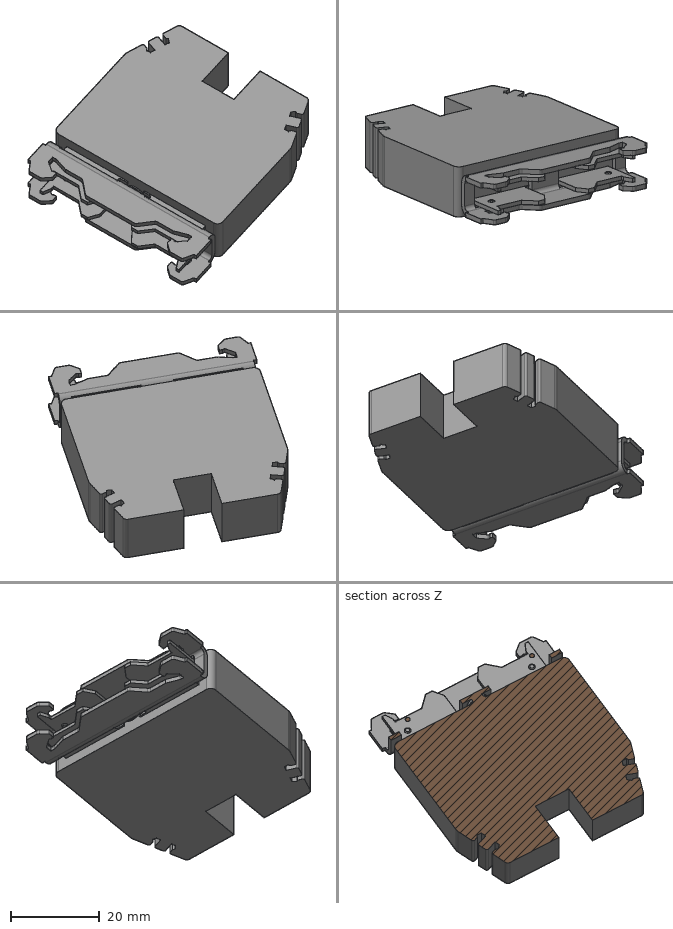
import cadquery as cq
import math


TOTAL_LENGTH = 53.3
HOUSING_WIDTH = 46.25
HOUSING_THICKNESS = 12.0
HOUSING_BASE_Y = 11.8
BASE_CORNER_RADIUS = 1.5
SHOULDER_Y = 39.55
FLANK_ANGLE = math.radians(20)
SHOULDER_RADIUS = 2.25
TOP_CORNER_RADIUS = 1.0
CENTRE_SLOT_WIDTH = 8.85
CENTRE_SLOT_DEPTH = 10.1

GROOVE_WIDTH = 1.15
GROOVE_DEPTH = 2.95
LOWER_GROOVE_START = 4.8
UPPER_GROOVE_START = 8.75
BARB_START = 1.55
BARB_PEAK = 1.9
BARB_HEIGHT = 0.4
GROOVE_MOUTH_RADIUS = 0.5

SHEET = 1.15
CHANNEL_WIDTH = 45.5
CHANNEL_HEIGHT = 9.7
WEB_Y = 10.75
BEND_RADIUS = 2.2
FLANGE_TOP_Y = 8.25
FLANGE_HALF_WIDTH = 23.5
KEEL_HALF_WIDTH = 6.95
KEEL_Y = 1.9
KEEL_CORNER_RADIUS = 0.75
TONGUE_HALF_WIDTH = 3.8
WINDOW_END_X = 19.95
WINDOW_BEND_ANGLE = math.radians(34)

RELIEF_Y = 5.3
RELIEF_CORNER_RADIUS = 0.95
RELIEF_RISE_X = 15.05
RELIEF_PEAK_X = 18.45
RELIEF_PEAK_Y = 6.4
RELIEF_PEAK_RADIUS = 0.8
RELIEF_SIDE_END_Y = 4.85

HOOK_THROAT_X = 17.25
HOOK_THROAT_Y = 3.05
HOOK_THROAT_RADIUS = 0.2
HOOK_TIP_X = 16.05
HOOK_TIP_Y = 3.25
HOOK_TIP_FLAT = 0.7
HOOK_LEAD_IN_Y = 1.7
HOOK_LEAD_IN_RADIUS = 0.3
FOOT_INNER_X = 18.0
FOOT_INNER_RADIUS = 1.1
FOOT_OUTER_X = 21.4
FOOT_OUTER_RADIUS = 0.65
HOOK_STEP = 0.65
HOOK_STEP_Y = 2.55

PLATE_THICKNESS = 0.95
PLATE_OUTER_Z = 3.25
PLATE_HALF_WIDTH = 19.4
PLATE_INNER_X = 4.4
PLATE_TAPER_Y = 4.05
PLATE_FOOT_Y = 1.55
PLATE_FOOT_INNER_X = 6.15
PLATE_FOOT_OUTER_X = 7.9
PLATE_ARCH_Y = 4.3
PLATE_ARCH_END_X = 17.65
PLATE_ARCH_DROP = 0.8
PLATE_TOE_WIDTH = 0.8
PLATE_BRIDGE_Y = 11.4
COLLAR_NOTCH_WIDTH = 4.55
BRIDGE_CORNER_RADIUS = 0.35
STUD_X = 16.5
STUD_Y = 7.85
STUD_BASE_RADIUS = 0.75
STUD_TIP_RADIUS = 0.5
STUD_HEIGHT = 0.2

RIVET_RADIUS = 2.6
COLLAR_RADIUS = 2.75


def rounded_outline(corners):
    """Closed wire through (x, y, radius) corners, each corner rounded by its radius."""
    count = len(corners)
    stretches = []
    for i, (x, y, radius) in enumerate(corners):
        corner = cq.Vector(x, y)
        if radius == 0:
            stretches.append([corner])
            continue
        before = cq.Vector(*corners[i - 1][:2])
        after = cq.Vector(*corners[(i + 1) % count][:2])
        to_before = (before - corner).normalized()
        to_after = (after - corner).normalized()
        half_angle = to_before.getAngle(to_after) / 2
        tangent_length = radius / math.tan(half_angle)
        bisector = (to_before + to_after).normalized()
        middle_offset = radius / math.sin(half_angle) - radius
        stretches.append([
            corner + to_before * tangent_length,
            corner + bisector * middle_offset,
            corner + to_after * tangent_length,
        ])
    outline = cq.Workplane("XY").moveTo(*stretches[0][-1].toTuple()[:2])
    for stretch in stretches[1:] + stretches[:1]:
        outline = outline.lineTo(*stretch[0].toTuple()[:2])
        if len(stretch) > 1:
            outline = outline.threePointArc(stretch[1].toTuple()[:2], stretch[2].toTuple()[:2])
    return outline.close()


def mirrored(right_half):
    """Complete a right-half outline with its mirror image across X = 0."""
    return right_half + [(-x, y, radius) for x, y, radius in reversed(right_half)]


def both_sides(solid, plane):
    return solid.union(solid.mirror(plane))


def flank_point(along, depth, radius=0):
    """Corner on the right flank: distance up from the shoulder and depth into the housing."""
    x = HOUSING_WIDTH / 2 - along * math.sin(FLANK_ANGLE) - depth * math.cos(FLANK_ANGLE)
    y = SHOULDER_Y + along * math.cos(FLANK_ANGLE) - depth * math.sin(FLANK_ANGLE)
    return (x, y, radius)


def groove_corners(start, barb_below):
    """Groove corners from the lower lip round to the upper lip."""
    end = start + GROOVE_WIDTH
    lower = [flank_point(start, 0, GROOVE_MOUTH_RADIUS)]
    upper = [flank_point(end, 0, GROOVE_MOUTH_RADIUS)]
    if barb_below:
        lower += [flank_point(start, BARB_START), flank_point(start - BARB_HEIGHT, BARB_PEAK)]
    else:
        upper += [flank_point(end, BARB_START), flank_point(end + BARB_HEIGHT, BARB_PEAK)]
    floor = [flank_point(start, GROOVE_DEPTH), flank_point(end, GROOVE_DEPTH)]
    return lower + floor + upper[::-1]


def make_housing():
    half_width = HOUSING_WIDTH / 2
    half_slot = CENTRE_SLOT_WIDTH / 2
    slot_floor_y = TOTAL_LENGTH - CENTRE_SLOT_DEPTH
    top_x = half_width - (TOTAL_LENGTH - SHOULDER_Y) * math.tan(FLANK_ANGLE)
    right_half = [
        (half_width, HOUSING_BASE_Y, BASE_CORNER_RADIUS),
        (half_width, SHOULDER_Y, SHOULDER_RADIUS),
        *groove_corners(LOWER_GROOVE_START, barb_below=True),
        *groove_corners(UPPER_GROOVE_START, barb_below=False),
        (top_x, TOTAL_LENGTH, TOP_CORNER_RADIUS),
        (half_slot, TOTAL_LENGTH, 0),
        (half_slot, slot_floor_y, 0),
    ]
    return rounded_outline(mirrored(right_half)).extrude(HOUSING_THICKNESS / 2, both=True)


def channel_block(height, top_y, radius):
    """Block from the flange shoulders up to top_y, its two long upper edges rounded."""
    depth = top_y - FLANGE_TOP_Y
    block = cq.Workplane("XY").box(CHANNEL_WIDTH, depth, height, centered=(True, False, True))
    return block.translate((0, FLANGE_TOP_Y, 0)).edges("|X and >Y").fillet(radius)


def make_channel():
    """Web and bends of the bracket, with a window each side of the centre tongue."""
    inner = channel_block(CHANNEL_HEIGHT - 2 * SHEET, WEB_Y - SHEET, BEND_RADIUS - SHEET)
    channel = channel_block(CHANNEL_HEIGHT, WEB_Y, BEND_RADIUS).cut(inner)
    window_width = WINDOW_END_X - TONGUE_HALF_WIDTH
    bend_y = WEB_Y - BEND_RADIUS
    bend_z = CHANNEL_HEIGHT / 2 - BEND_RADIUS
    clear_y = WEB_Y + SHEET
    clear_z = bend_z + (clear_y - bend_y) / math.tan(WINDOW_BEND_ANGLE)
    window = (
        cq.Workplane("YZ", origin=(TONGUE_HALF_WIDTH, 0, 0))
        .polyline([(bend_y, -bend_z), (clear_y, -clear_z), (clear_y, clear_z), (bend_y, bend_z)])
        .close()
        .extrude(window_width)
    )
    return channel.cut(both_sides(window, "YZ"))


def make_flange():
    """Upper flange with its rail hooks and the relief above each hook."""
    right_half = [
        (KEEL_HALF_WIDTH, KEEL_Y, KEEL_CORNER_RADIUS),
        (KEEL_HALF_WIDTH + RELIEF_Y - KEEL_Y, RELIEF_Y, RELIEF_CORNER_RADIUS),
        (RELIEF_RISE_X, RELIEF_Y, 0),
        (RELIEF_PEAK_X, RELIEF_PEAK_Y, RELIEF_PEAK_RADIUS),
        (PLATE_HALF_WIDTH, RELIEF_PEAK_Y, 0),
        (PLATE_HALF_WIDTH, RELIEF_SIDE_END_Y, 0),
        (HOOK_THROAT_X, HOOK_THROAT_Y, HOOK_THROAT_RADIUS),
        (HOOK_TIP_X + HOOK_TIP_FLAT, HOOK_TIP_Y, 0),
        (HOOK_TIP_X, HOOK_TIP_Y, 0),
        (HOOK_TIP_X, HOOK_LEAD_IN_Y, HOOK_LEAD_IN_RADIUS),
        (FOOT_INNER_X, 0, FOOT_INNER_RADIUS),
        (FOOT_OUTER_X, 0, FOOT_OUTER_RADIUS),
        (FLANGE_HALF_WIDTH - HOOK_STEP, HOOK_STEP_Y, 0),
        (FLANGE_HALF_WIDTH, HOOK_STEP_Y, 0),
        (FLANGE_HALF_WIDTH, FLANGE_TOP_Y, 0),
    ]
    flange = rounded_outline(mirrored(right_half)).extrude(SHEET)
    return flange.translate((0, 0, CHANNEL_HEIGHT / 2 - SHEET))


def make_contact_plate():
    """Upper contact plate: two legs and the bridge that joins them under the housing."""
    half_notch = COLLAR_NOTCH_WIDTH / 2
    leg = [
        (half_notch, HOUSING_BASE_Y, 0),
        (half_notch, PLATE_BRIDGE_Y, 0),
        (PLATE_INNER_X, PLATE_BRIDGE_Y, BRIDGE_CORNER_RADIUS),
        (PLATE_INNER_X, PLATE_TAPER_Y, 0),
        (PLATE_FOOT_INNER_X, PLATE_FOOT_Y, 0),
        (PLATE_FOOT_OUTER_X, PLATE_FOOT_Y, 0),
        (PLATE_FOOT_OUTER_X + PLATE_ARCH_Y - PLATE_FOOT_Y, PLATE_ARCH_Y, 0),
        (PLATE_ARCH_END_X, PLATE_ARCH_Y, 0),
        (PLATE_ARCH_END_X, PLATE_ARCH_Y - PLATE_ARCH_DROP, 0),
        (PLATE_HALF_WIDTH - PLATE_TOE_WIDTH, PLATE_FOOT_Y, 0),
        (PLATE_HALF_WIDTH, PLATE_FOOT_Y, 0),
        (PLATE_HALF_WIDTH, HOUSING_BASE_Y, 0),
    ]
    inner_z = PLATE_OUTER_Z - PLATE_THICKNESS
    plate = rounded_outline(leg).extrude(PLATE_THICKNESS).translate((0, 0, inner_z))
    stud = cq.Solid.makeCone(
        STUD_BASE_RADIUS, STUD_TIP_RADIUS, STUD_HEIGHT,
        pnt=cq.Vector(STUD_X, STUD_Y, inner_z), dir=cq.Vector(0, 0, -1),
    )
    return both_sides(plate.union(cq.Workplane(stud)), "YZ")


def round_post(radius, bottom_y, top_y):
    post = cq.Workplane("XZ").circle(radius).extrude(bottom_y - top_y)
    return post.translate((0, bottom_y, 0))


housing = make_housing()
channel = make_channel()
flanges = both_sides(make_flange(), "XY")
contact_plates = both_sides(make_contact_plate(), "XY")
collar = round_post(COLLAR_RADIUS, PLATE_BRIDGE_Y, HOUSING_BASE_Y)
rivet = round_post(RIVET_RADIUS, WEB_Y, PLATE_BRIDGE_Y)

result = housing.union(channel).union(flanges).union(contact_plates).union(collar).union(rivet)